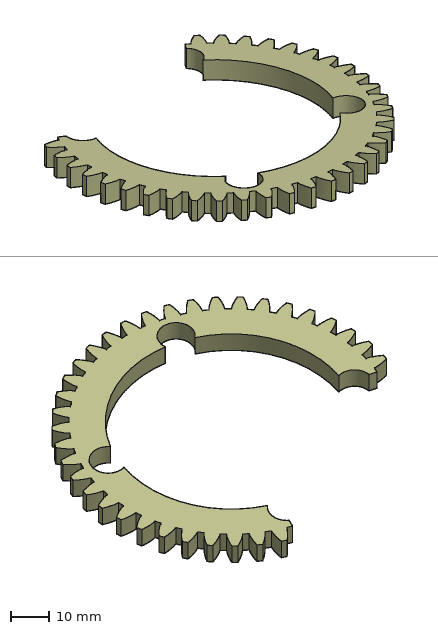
import cadquery as cq
import math

TEETH = 45
TIP_RADIUS = 47.0
PRESSURE_ANGLE = math.radians(20)
DEDENDUM_FACTOR = 1.25
THICKNESS = 6.0
BORE_RADIUS = 33.0
NOTCH_RADIUS = 5.0
NOTCH_CENTRE_RADIUS = 35.3
NOTCH_ANGLES = (45, 135, 225, 315)
END_ANGLE = 133
FLANK_POINTS = 6

MODULE = 2 * TIP_RADIUS / (TEETH + 2)
PITCH_RADIUS = MODULE * TEETH / 2
ROOT_RADIUS = PITCH_RADIUS - DEDENDUM_FACTOR * MODULE
BASE_RADIUS = PITCH_RADIUS * math.cos(PRESSURE_ANGLE)
TOOTH_PITCH = 2 * math.pi / TEETH


def polar(radius, angle):
    return (radius * math.cos(angle), radius * math.sin(angle))


def involute(pressure_angle):
    return math.tan(pressure_angle) - pressure_angle


def half_tooth_angle(radius):
    """Half the angle that a tooth fills at the given radius."""
    local_pressure_angle = math.acos(BASE_RADIUS / radius)
    return TOOTH_PITCH / 4 + involute(PRESSURE_ANGLE) - involute(local_pressure_angle)


def gear_blank():
    """Full involute gear with one tooth centred on +X."""
    step = (TIP_RADIUS - ROOT_RADIUS) / (FLANK_POINTS - 1)
    radii = [ROOT_RADIUS + i * step for i in range(FLANK_POINTS)]
    root_half_angle = half_tooth_angle(ROOT_RADIUS)

    outline = cq.Workplane("XY").moveTo(*polar(ROOT_RADIUS, -root_half_angle))
    for tooth in range(TEETH):
        centre = tooth * TOOTH_PITCH
        rising = [polar(r, centre - half_tooth_angle(r)) for r in radii]
        falling = [polar(r, centre + half_tooth_angle(r)) for r in reversed(radii)]
        gap_middle = polar(ROOT_RADIUS, centre + TOOTH_PITCH / 2)
        next_root = polar(ROOT_RADIUS, centre + TOOTH_PITCH - root_half_angle)
        outline = (
            outline.spline(rising[1:], includeCurrent=True)
            .threePointArc(polar(TIP_RADIUS, centre), falling[0])
            .spline(falling[1:], includeCurrent=True)
            .threePointArc(gap_middle, next_root)
        )
    return outline.close().extrude(THICKNESS)


def opening():
    """Wedge on the -X side, with radial faces, that opens the ring."""
    reach = 2 * TIP_RADIUS
    end = math.radians(END_ANGLE)
    corners = [(0, 0), polar(reach, end), polar(reach, -end)]
    return cq.Workplane("XY").polyline(corners).close().extrude(THICKNESS)


def notches():
    """Round notches that break through the bore."""
    centres = [polar(NOTCH_CENTRE_RADIUS, math.radians(a)) for a in NOTCH_ANGLES]
    return cq.Workplane("XY").pushPoints(centres).circle(NOTCH_RADIUS).extrude(THICKNESS)


bore = cq.Workplane("XY").circle(BORE_RADIUS).extrude(THICKNESS)

result = gear_blank().cut(bore).cut(notches()).cut(opening())